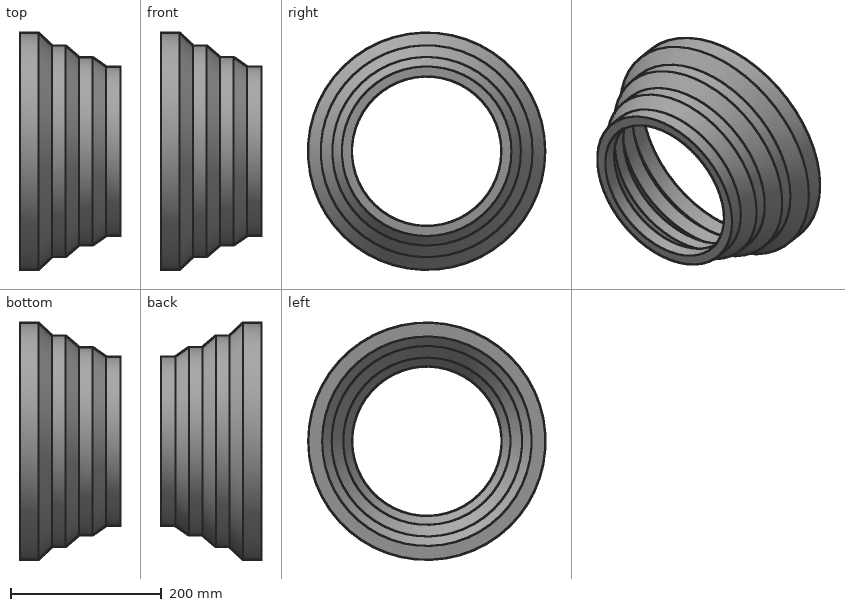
import cadquery as cq

total_length = 134.0
wide_collar_length = 25.0
step_length = 18.0
first_bore_cone_length = 12.5

outer_radii = [157.5, 140.5, 125.0, 112.5]
inner_radii = [139.0, 126.3, 111.0, 99.0]


def stepped_profile(radii, first_cone_length):
    """Points (x, radius) of cylindrical collars joined by cones."""
    points = [(0, radii[0])]
    cone_start = wide_collar_length
    cone_length = first_cone_length
    for wide, narrow in zip(radii, radii[1:]):
        points.append((cone_start, wide))
        points.append((cone_start + cone_length, narrow))
        cone_start += 2 * step_length
        cone_length = step_length
    points.append((total_length, radii[-1]))
    return points


outer_profile = stepped_profile(outer_radii, step_length)
bore_profile = stepped_profile(inner_radii, first_bore_cone_length)
wall_section = cq.Workplane("XY").polyline(outer_profile + bore_profile[::-1]).close()
result = wall_section.revolve(360, (0, 0, 0), (1, 0, 0))